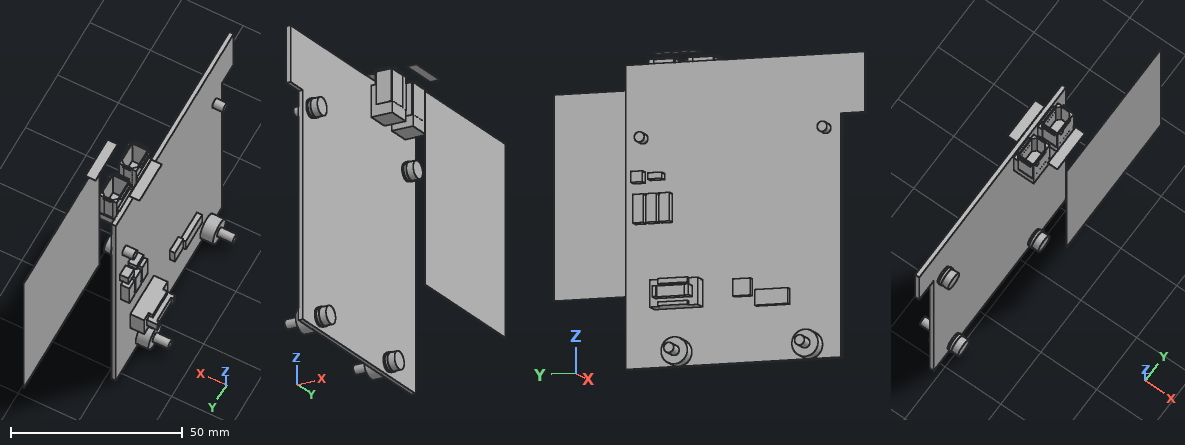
import cadquery as cq


board_thickness = 1.5
board_width = 73.3
board_height = 90.0
corner_cut_width = 7.2
corner_cut_height = 72.2

standoff_radius = 4.0
standoff_height = 4.2
thread_radius = 1.5
thread_height = 5.1
standoff_ys = (16.9, 57.0)

upper_screw_ys = (11.9, 67.9)
upper_screw_z = 67.9
screw_end_height = 3.5
screw_head_radius = 2.8
screw_washer_radius = 3.0
screw_spacer_height = 0.6
screw_washer_height = 0.9
screw_head_height = 2.3

tall_component_height = 2.8
tall_blocks = (
    (67.2, 54.8, 3.5, 3.2),
    (61.3, 55.5, 4.3, 1.8),
)
row_block_size = (3.2, 8.4)
row_block_pitch = 4.0
row_block_count = 3
row_first = (58.9, 42.7)
flat_component_height = 1.7
flat_blocks = (
    (34.5, 19.6, 5.3, 5.0),
    (22.9, 16.5, 10.2, 4.6),
)

plug_y = 57.0
plug_base_z = 17.2
plug_base_size = (4.5, 14.7, 8.0)
plug_tab_width = 9.0
plug_tab_reach = 5.9
plug_upper_tab_thickness = 1.5
plug_lower_tab_thickness = 1.1
plug_tongue_z = 19.6
plug_tongue_width = 11.2
plug_tongue_thickness = 3.2
plug_tongue_reach = 7.9
plug_notch_width = 8.7
plug_notch_depth = 0.7

socket_ys = (51.1, 63.1)
socket_depth = 7.1
socket_width = 7.8
socket_bottom = 77.9
socket_body_height = 9.9
shell_gap = 1.4
shell_overhang = 0.2
shell_bottom = 81.5
shell_top = 92.0
shell_wall = 0.3
pad_height = 0.1
cavity_corner = 1.2

lip_thickness = 0.3
lip_rise = 0.1
lip_reach = 0.7
side_lip_offset = 3.3
inner_lip_length = 5.6
outer_tab_length = 1.1
outer_lip_offset = 1.7
outer_lip_length = 3.4
outer_lip_reach = 0.3
lower_lip_offset = 0.6
lower_lip_length = 4.5
upper_lip_offset = 1.7
upper_lip_length = 2.4
upper_lip_reach = 0.5

sheet_thickness = 0.1
cover_inner_x = 15.9
cover_y = 53.5
cover_width = 47.0
cover_z = 24.4
cover_height = 61.1
label_top = 92.9
label_y = 50.0
label_width = 13.9
label_depth = 3.4
label_xs = (-2.8, 11.7)


def block(x, y, z, size_x, size_y, size_z):
    """Box given by its lowest corner and its sizes."""
    return cq.Workplane("XY").box(size_x, size_y, size_z, centered=False).translate((x, y, z))


def rod(x, y, z, radius, length):
    """Cylinder along +X that starts at the given point."""
    return cq.Workplane("YZ", origin=(x, y, z)).circle(radius).extrude(length)


def make_plate():
    outline = [
        (corner_cut_width, 0),
        (board_width, 0),
        (board_width, board_height),
        (0, board_height),
        (0, corner_cut_height),
        (corner_cut_width, corner_cut_height),
    ]
    return cq.Workplane("YZ").polyline(outline).close().extrude(board_thickness)


def make_standoff(y):
    base = rod(-standoff_height, y, standoff_radius, standoff_radius, standoff_height)
    thread_x = -standoff_height - thread_height
    thread = rod(thread_x, y, standoff_radius, thread_radius, thread_height)
    return base.union(thread)


def make_screw_head(y, z):
    washer_x = board_thickness + screw_spacer_height
    head_x = washer_x + screw_washer_height
    spacer = rod(board_thickness, y, z, screw_head_radius, screw_spacer_height)
    washer = rod(washer_x, y, z, screw_washer_radius, screw_washer_height)
    head = rod(head_x, y, z, screw_head_radius, screw_head_height)
    return spacer.union(washer).union(head)


def make_screw_end(y, z):
    return rod(-screw_end_height, y, z, thread_radius, screw_end_height)


def make_component(y, z, size_y, size_z, height):
    return block(-height, y, z, height, size_y, size_z)


def make_plug():
    base_depth, base_width, base_height = plug_base_size
    base_top = plug_base_z + base_height
    plug = block(-base_depth, plug_y - base_width / 2, plug_base_z, *plug_base_size)

    tab_y = plug_y - plug_tab_width / 2
    upper_tab_z = base_top - plug_upper_tab_thickness
    for tab_z, thickness in (
        (plug_base_z, plug_lower_tab_thickness),
        (upper_tab_z, plug_upper_tab_thickness),
    ):
        plug = plug.union(block(-plug_tab_reach, tab_y, tab_z, plug_tab_reach, plug_tab_width, thickness))

    tongue = block(
        -plug_tongue_reach, plug_y - plug_tongue_width / 2, plug_tongue_z,
        plug_tongue_reach, plug_tongue_width, plug_tongue_thickness,
    )
    notch = block(
        -plug_tongue_reach, plug_y - plug_notch_width / 2, plug_tongue_z,
        plug_notch_depth, plug_notch_width, plug_tongue_thickness,
    )
    return plug.union(tongue.cut(notch))


def make_socket(y):
    """Socket with an open upper end, lips around the mouth and a body against the board."""
    body_y = y - socket_width / 2
    body = block(board_thickness, body_y, socket_bottom, socket_depth, socket_width, socket_body_height)

    shell_x = board_thickness + shell_gap
    shell_y = body_y
    shell_depth = socket_depth - shell_gap
    shell_width = socket_width + shell_overhang
    shell_height = shell_top - shell_bottom
    shell = block(shell_x, shell_y, shell_bottom, shell_depth, shell_width, shell_height)

    pad_x = shell_x + shell_wall
    pad_width = shell_depth - 2 * shell_wall
    pad = block(pad_x, shell_y - pad_height, shell_bottom, pad_width, pad_height, shell_height)
    shell = shell.union(pad)

    cavity = block(
        shell_x + shell_wall, shell_y + shell_wall, shell_bottom + shell_wall,
        shell_depth - 2 * shell_wall, shell_width - 2 * shell_wall, shell_height,
    )
    cavity = cavity.edges("|Z and >Y").chamfer(cavity_corner)

    lip_z = shell_top + lip_rise - lip_thickness
    shell_end_x = shell_x + shell_depth
    shell_end_y = shell_y + shell_width
    side_lip_y = y - side_lip_offset
    lips = (
        (shell_x - lip_reach, side_lip_y, lip_reach, inner_lip_length),
        (shell_end_x, side_lip_y, lip_reach, outer_tab_length),
        (shell_end_x, side_lip_y + outer_lip_offset, outer_lip_reach, outer_lip_length),
        (shell_x + lower_lip_offset, shell_y - lip_reach, lower_lip_length, lip_reach),
        (shell_x + upper_lip_offset, shell_end_y, upper_lip_length, upper_lip_reach),
    )
    for x, lip_y, size_x, size_y in lips:
        shell = shell.union(block(x, lip_y, lip_z, size_x, size_y, lip_thickness))
    return body.union(shell).cut(cavity)


def make_board():
    board = make_plate()
    for y in standoff_ys:
        board = board.union(make_standoff(y)).union(make_screw_head(y, standoff_radius))
    for y in upper_screw_ys:
        board = board.union(make_screw_end(y, upper_screw_z)).union(make_screw_head(y, upper_screw_z))
    for outline in tall_blocks:
        board = board.union(make_component(*outline, tall_component_height))
    for outline in flat_blocks:
        board = board.union(make_component(*outline, flat_component_height))
    row_y, row_z = row_first
    for index in range(row_block_count):
        y = row_y + index * row_block_pitch
        board = board.union(make_component(y, row_z, *row_block_size, tall_component_height))
    board = board.union(make_plug())
    for y in socket_ys:
        board = board.union(make_socket(y))
    return board


def make_cover():
    return block(cover_inner_x, cover_y, cover_z, sheet_thickness, cover_width, cover_height)


def make_label(x):
    return block(x, label_y, label_top - sheet_thickness, label_depth, label_width, sheet_thickness)


board = make_board()
cover = make_cover()
labels = [make_label(x) for x in label_xs]

result = cq.Compound.makeCompound([board.val(), cover.val(), *[label.val() for label in labels]])